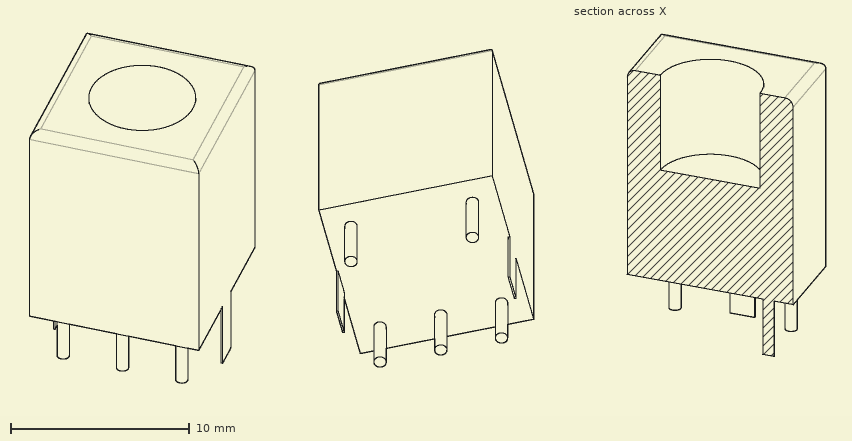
import cadquery as cq

body_side = 10.0
body_height = 13.0
top_edge_radius = 0.5

bore_diameter = 6.0
bore_depth = 6.0

pin_diameter = 0.7
pin_length = 3.5
pin_pitch = 3.5
front_row = [(column * pin_pitch, -pin_pitch) for column in (-1, 0, 1)]
back_row = [(column * pin_pitch, pin_pitch) for column in (-1, 1)]

tab_width = 1.5
tab_thickness = 0.1
tab_length = 4.0


def make_body():
    block = cq.Workplane("XY").rect(body_side, body_side).extrude(body_height)
    rounded = block.faces(">Z").edges().fillet(top_edge_radius)
    return rounded.faces(">Z").workplane().hole(bore_diameter, bore_depth)


def make_pins():
    pins = cq.Workplane("XY").pushPoints(front_row + back_row)
    return pins.circle(pin_diameter / 2).extrude(-pin_length)


def make_tabs():
    tab_offset = (body_side - tab_thickness) / 2
    tabs = cq.Workplane("XY").pushPoints([(-tab_offset, 0), (tab_offset, 0)])
    return tabs.rect(tab_thickness, tab_width).extrude(-tab_length)


result = make_body().union(make_pins()).union(make_tabs())